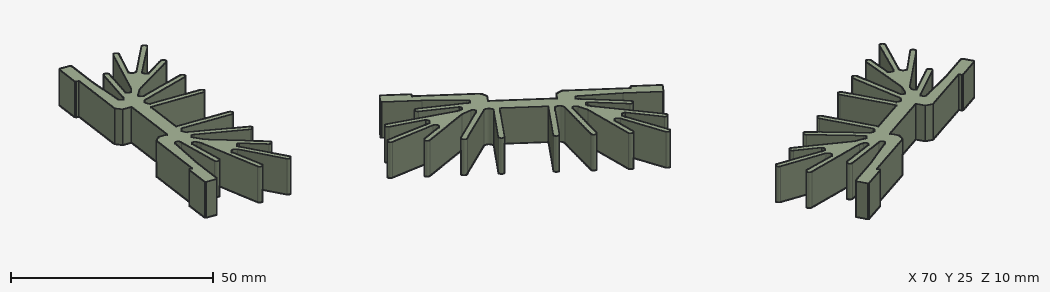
import cadquery as cq
import math

length = 70.0
depth = 25.0
height = 10.0

foot_top = 3.6
foot_step_x = 27.0
foot_step = 1.05
foot_chamfer = 0.3
web_bottom = 5.05
web_top = 9.1
recess_half_width = 8.55
recess_chamfer = 1.5
foot_slope_start_x = 24.85

fin_radius = 0.8
tip_row_y = depth - fin_radius
outer_tip_x = length / 2 - fin_radius
upright_fin_x = 6.8

fins = [
    ((26.25, 8.55), 9),
    ((outer_tip_x, 16.1), 17),
    ((outer_tip_x, tip_row_y), 36.6),
    ((25.1, tip_row_y), 55.8),
    ((16.0, tip_row_y), 70.3),
    ((upright_fin_x, tip_row_y), 90),
]

gap_roots = [
    ([(13.9, 4.235)], (12.95, 5.05), [(13.9, 5.845)]),
    ([(15.9, 7.7)], (15.25, 8.55), [(15.7, 9.25), (16.6, 9.9)]),
    ([(24.7, 13.85)], (23.7, 14.8), [(24.1, 15.8)]),
    ([(23.2, 16.9)], (21.9, 16.95), [(21.6, 17.85)]),
    ([(15.55, 11.6), (13.2, 9.7)], (12.25, 9.65), [(12.0, 10.7)]),
    ([(10.0, 9.95)], (8.75, web_top), [(upright_fin_x + fin_radius, 9.9)]),
]


def draw_gap_root(outline, before, middle, after):
    """Run along a gap wall, around its rounded root and out again."""
    for point in before:
        outline = outline.lineTo(*point)
    outline = outline.threePointArc(middle, after[0])
    for point in after[1:]:
        outline = outline.lineTo(*point)
    return outline


def draw_fin_tip(outline, centre, tilt):
    """Run to the lower side of a fin tip and around to its upper side."""
    def on_tip(turn):
        angle = math.radians(tilt + turn)
        return (centre[0] + fin_radius * math.cos(angle), centre[1] + fin_radius * math.sin(angle))

    return outline.lineTo(*on_tip(-90)).threePointArc(on_tip(0), on_tip(90))


def half_profile():
    """Closed outline of the half on the +X side of the middle plane."""
    outline = (
        cq.Workplane("XY")
        .moveTo(0, web_bottom)
        .lineTo(recess_half_width, web_bottom)
        .lineTo(recess_half_width, foot_step + recess_chamfer)
        .lineTo(recess_half_width + recess_chamfer, foot_step)
        .lineTo(foot_step_x, foot_step)
        .lineTo(foot_step_x, foot_chamfer)
        .lineTo(foot_step_x + foot_chamfer, 0)
        .lineTo(length / 2, 0)
        .lineTo(length / 2, foot_top)
        .lineTo(foot_slope_start_x, foot_top)
    )
    for (before, middle, after), (centre, tilt) in zip(gap_roots, fins):
        outline = draw_gap_root(outline, before, middle, after)
        outline = draw_fin_tip(outline, centre, tilt)
    return outline.lineTo(upright_fin_x - fin_radius, web_top).lineTo(0, web_top).close()


right_half = half_profile().extrude(height)
right_half = right_half.faces(">X").edges("|Z").chamfer(foot_chamfer)
result = right_half.union(right_half.mirror("YZ")).clean()